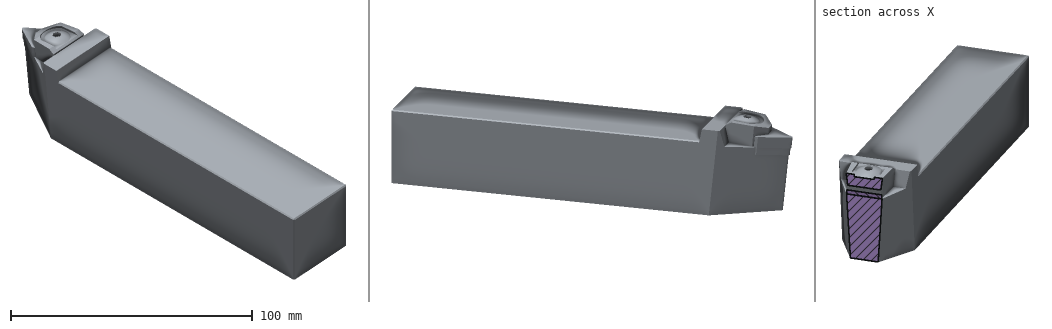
import cadquery as cq
import math

TILT = 6.0
NOSE_HEIGHT = 32.15

NOSE_RADIUS = 0.8
HALF_NOSE_ANGLE = 30.0
INSERT_THICKNESS = 4.76
INSERT_LENGTH = 14.0
INSERT_HALF_WIDTH = 7.75

SHIM_THICKNESS = 3.18
SHIM_INSET = 0.2

LENGTH = 169.21
WIDTH = 32.0
SHANK_HEIGHT = 32.0
HEAD_HEIGHT = 37.3
STEP_TOP_X = 34.3
STEP_FOOT_X = 35.4
STEP_FOOT_RADIUS = 0.3
SHANK_CHAMFER = 0.5
WEDGE_INSET = 0.42
SEAT_WALL_U = 24.7
SEAT_WALL_LEAN = 18.0

HOOK_FRONT_U = 9.9
HOOK_FRONT_HALF_WIDTH = 2.2
HOOK_FRONT_W = 7.55
SHOULDER_U = 14.7
SHOULDER_HALF_WIDTH = 8.0
LEG_FRONT_U = 14.2
CLAMP_REAR_HALF_WIDTH = 9.3
CLAMP_REAR_W = 7.6
CLAMP_BOTTOM_W = 0.25
CLAMP_WALL_GAP = 0.4
CLAMP_TOP_W = 9.2
RIB_END_U = 24.3
RIB_INNER_Y = 6.3
RECESS_DEPTH = 1.0
RECESS_RADIUS = 7.0

SCREW_U = 20.2
SCREW_HEAD_DIAMETER = 11.0
SCREW_SHANK_DIAMETER = 5.9
SCREW_TOP_W = 9.87
SCREW_RIM_W = 8.2
SOCKET_ACROSS_FLATS = 3.3
SOCKET_DEPTH = 2.0

BEYOND = 2 * LENGTH

sin_tilt = math.sin(math.radians(TILT))
cos_tilt = math.cos(math.radians(TILT))
wall_slope = math.tan(math.radians(SEAT_WALL_LEAN))
nose_slope = math.tan(math.radians(HALF_NOSE_ANGLE))
seat_origin = cq.Vector(INSERT_THICKNESS * sin_tilt, 0, NOSE_HEIGHT - INSERT_THICKNESS * cos_tilt)
u_direction = cq.Vector(cos_tilt, 0, sin_tilt)
w_direction = cq.Vector(-sin_tilt, 0, cos_tilt)


def seat_plan(w):
    """Workplane parallel to the seat at height w; its axes are U and Y."""
    return cq.Workplane(cq.Plane(seat_origin + w_direction * w, u_direction, w_direction))


def seat_profile():
    """Workplane on the lengthwise mid plane; its axes are U and W."""
    return cq.Workplane(cq.Plane(seat_origin, u_direction, (0, -1, 0)))


def nose_prism(inset, rear_u, half_width, bottom_w, top_w):
    """Wedge with a rounded nose, its sides set in from the sides of the insert by `inset`."""
    apex_u = inset / math.sin(math.radians(HALF_NOSE_ANGLE)) - NOSE_RADIUS
    side_end_u = apex_u + half_width / nose_slope
    tangent_u = apex_u + NOSE_RADIUS * math.cos(math.radians(HALF_NOSE_ANGLE)) / nose_slope
    tangent_y = (tangent_u - apex_u) * nose_slope
    return (
        seat_plan(bottom_w)
        .moveTo(tangent_u, -tangent_y)
        .lineTo(side_end_u, -half_width)
        .lineTo(rear_u, -half_width)
        .lineTo(rear_u, half_width)
        .lineTo(side_end_u, half_width)
        .lineTo(tangent_u, tangent_y)
        .threePointArc((apex_u + NOSE_RADIUS, 0), (tangent_u, -tangent_y))
        .close()
        .extrude(top_w - bottom_w)
    )


def make_shank():
    """Bar with a raised head, a rounded step foot and chamfered upper and rear edges."""
    profile = [
        (0, 0),
        (LENGTH, 0),
        (LENGTH, SHANK_HEIGHT),
        (STEP_FOOT_X, SHANK_HEIGHT),
        (STEP_TOP_X, HEAD_HEIGHT),
        (0, HEAD_HEIGHT),
    ]
    shank = cq.Workplane("XZ").polyline(profile).close().extrude(WIDTH / 2, both=True)
    top_face = cq.selectors.NearestToPointSelector((LENGTH / 2, 0, SHANK_HEIGHT))
    shank = shank.faces(top_face).edges("|X or >X").chamfer(SHANK_CHAMFER)
    shank = shank.faces(">X").edges("|Z").chamfer(SHANK_CHAMFER)
    step_foot = cq.selectors.NearestToPointSelector((STEP_FOOT_X, 0, SHANK_HEIGHT))
    return shank.edges(step_foot).fillet(STEP_FOOT_RADIUS)


def make_body():
    """Shank sharpened to a wedge, with the seat and its leaning rear wall cut into the head."""
    body = make_shank().intersect(nose_prism(WEDGE_INSET, BEYOND, WIDTH, -BEYOND, BEYOND))
    seat_opening = [
        (-LENGTH, 0),
        (SEAT_WALL_U, 0),
        (SEAT_WALL_U + BEYOND * wall_slope, BEYOND),
        (-LENGTH, BEYOND),
    ]
    return body.cut(seat_profile().polyline(seat_opening).close().extrude(WIDTH, both=True))


def make_clamp():
    """Hooked clamp block with two ribs beside the recess for the screw head."""
    bottom_rear_u = SEAT_WALL_U - CLAMP_WALL_GAP + CLAMP_BOTTOM_W * wall_slope
    top_rear_u = SEAT_WALL_U - CLAMP_WALL_GAP + CLAMP_REAR_W * wall_slope
    half_plan = [
        (HOOK_FRONT_U, HOOK_FRONT_HALF_WIDTH),
        (SHOULDER_U, SHOULDER_HALF_WIDTH),
        (top_rear_u, CLAMP_REAR_HALF_WIDTH),
    ]
    outline = half_plan + [(u, -y) for u, y in reversed(half_plan)]
    block = seat_plan(0).polyline(outline).close().extrude(CLAMP_TOP_W)

    side_profile = [
        (HOOK_FRONT_U, INSERT_THICKNESS),
        (LEG_FRONT_U, INSERT_THICKNESS),
        (LEG_FRONT_U, CLAMP_BOTTOM_W),
        (bottom_rear_u, CLAMP_BOTTOM_W),
        (top_rear_u, CLAMP_REAR_W),
        (RIB_END_U, CLAMP_TOP_W),
        (SHOULDER_U, CLAMP_TOP_W),
        (HOOK_FRONT_U, HOOK_FRONT_W),
    ]
    side = seat_profile().polyline(side_profile).close().extrude(WIDTH, both=True)

    floor = seat_plan(CLAMP_TOP_W - RECESS_DEPTH).center(SCREW_U, 0)
    recess = floor.circle(RECESS_RADIUS).extrude(2 * RECESS_DEPTH)
    recess = recess.union(floor.center(WIDTH / 2, 0).rect(WIDTH, 2 * RIB_INNER_Y).extrude(2 * RECESS_DEPTH))
    between_ribs = floor.rect(2 * WIDTH, 2 * RIB_INNER_Y).extrude(2 * RECESS_DEPTH)
    return block.intersect(side).cut(recess.intersect(between_ribs))


def make_screw():
    """Screw standing on the seat, its shank carrying the clamp just clear of the body."""
    shank_radius = SCREW_SHANK_DIAMETER / 2
    rim_radius = SCREW_HEAD_DIAMETER / 2
    dome_rise = SCREW_TOP_W - SCREW_RIM_W
    dome_radius = (rim_radius**2 + dome_rise**2) / (2 * dome_rise)
    return (
        seat_profile()
        .moveTo(SCREW_U, 0)
        .lineTo(SCREW_U, SCREW_TOP_W)
        .radiusArc((SCREW_U + rim_radius, SCREW_RIM_W), dome_radius)
        .lineTo(SCREW_U + rim_radius, INSERT_THICKNESS)
        .lineTo(SCREW_U + shank_radius, INSERT_THICKNESS)
        .lineTo(SCREW_U + shank_radius, 0)
        .close()
        .revolve(360, (SCREW_U, 0, 0), (SCREW_U, 1, 0))
    )


def make_socket():
    """Hexagonal key socket in the screw head."""
    across_corners = SOCKET_ACROSS_FLATS / math.cos(math.pi / 6)
    return seat_plan(SCREW_TOP_W).center(SCREW_U, 0).polygon(6, across_corners).extrude(-SOCKET_DEPTH)


def make_holder():
    """Body with shim, clamp and screw as one solid."""
    shim_half_width = INSERT_HALF_WIDTH - SHIM_INSET
    shim = nose_prism(SHIM_INSET, INSERT_LENGTH, shim_half_width, -SHIM_THICKNESS, 0)
    joined = make_body().union(shim).union(make_clamp()).union(make_screw()).cut(make_socket())
    return joined.solids()


def make_insert():
    """Cutting insert lying on the shim."""
    return nose_prism(0, INSERT_LENGTH, INSERT_HALF_WIDTH, 0, INSERT_THICKNESS)


holder = make_holder()
insert = make_insert()

result = cq.Compound.makeCompound([holder.val(), insert.val()])